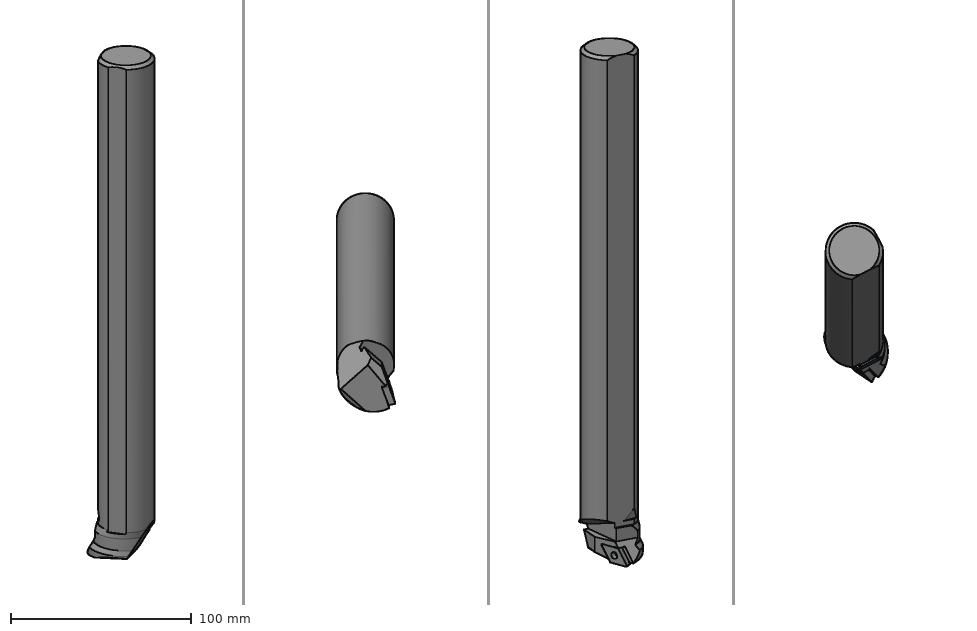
import cadquery as cq
import math

bar_length = 301.2
bar_radius = 16.0
end_chamfer_height = 1.8
end_chamfer_width = 2.0
side_flat_x = -13.5
front_flat_y = -15.0
front_flat_end_z = 20.0

collar_top_z = 21.0
neck_top_z = 17.2
neck_bottom_z = 10.0
foot_top_z = 7.0
neck_radius = 17.5
neck_x = -1.5
neck_y = 1.35
foot_radius = 19.5
foot_x = -2.7
foot_y = 2.5
neck_flat_x = -14.8

heel_run = 11.5
heel_top_z = 23.5
heel_bottom_z = 3.0
flank_top_z = 13.3
flank_bottom_x = -20.5
flank_bottom_z = 2.7
bottom_clearance = 0.5
bottom_slope_x = 0.09
bottom_slope_y = -0.11
toe_y = -12.0
toe_z = 1.0
toe_slope = 0.6
back_bevel_z = 4.2
back_bevel_slope = 0.5

rake_angle = 28.0
tip_x = -22.0
tip_y = 0.3
head_back_y = 10.5
shelf_z = 13.3
wall_angle = 10.0
wall_y = 3.5
roof_z = 23.8
roof_slope_x = -0.4
roof_slope_y = 0.43

notch_top_y = -7.5
notch_top_z = 29.8
notch_floor_z = 24.0
notch_slope = 0.18

insert_edge = 11.7
insert_thickness = 4.0
insert_angle = 55.0
insert_lead_angle = 2.0
insert_clearance_angle = 7.0
insert_nose_radius = 0.5
insert_hole_diameter = 4.0
seat_setback = 1.8

reach = 90.5


def half_space(point, outward):
    """Large block on the outward side of a plane."""
    plane = cq.Plane(origin=point, normal=outward)
    return cq.Workplane(plane).rect(2 * reach, 2 * reach).extrude(reach)


def frustum(bottom, top):
    """Skew cone between two circles, each given as (x, y, z, radius)."""
    wires = [
        cq.Wire.makeCircle(radius, cq.Vector(x, y, z), cq.Vector(0, 0, 1))
        for x, y, z, radius in (bottom, top)
    ]
    return cq.Workplane(cq.Solid.makeLoft(wires, True))


def make_shank():
    """Round bar with one side flat and a chamfered end."""
    blank = cq.Workplane().circle(bar_radius).extrude(bar_length)
    blank = blank.faces(">Z").edges().chamfer(end_chamfer_height, end_chamfer_width)
    envelope = cq.Workplane().box(2 * bar_radius, 3 * bar_radius, bar_length, centered=(False, True, False))
    envelope = envelope.translate((side_flat_x, 0, collar_top_z))
    return blank.intersect(envelope)


def make_head():
    """Stacked eccentric rounds: collar, neck, flare and foot."""
    neck_circle = (neck_x, neck_y)
    collar = frustum((*neck_circle, neck_top_z, neck_radius), (0, 0, collar_top_z, bar_radius))
    neck = cq.Workplane(origin=(*neck_circle, neck_bottom_z)).circle(neck_radius)
    neck = neck.extrude(neck_top_z - neck_bottom_z)
    flare = frustum((foot_x, foot_y, foot_top_z, foot_radius), (*neck_circle, neck_bottom_z, neck_radius))
    foot = cq.Workplane(origin=(foot_x, foot_y, 0)).circle(foot_radius).extrude(foot_top_z)
    above_flank = half_space((0, 0, flank_top_z), (0, 0, 1))
    neck_flat = half_space((neck_flat_x, 0, 0), (-1, 0, 0)).intersect(above_flank)
    return collar.union(neck).cut(neck_flat).union(flare).union(foot)


def cut_front_flat(body):
    """Flat on -Y that runs down into the collar."""
    flat = cq.Workplane(origin=(0, front_flat_y - reach / 2, front_flat_end_z))
    return body.cut(flat.rect(reach, reach).extrude(bar_length))


def cut_corner_notch(body):
    """Shallow facet across the edge of the side flat, deepest at its floor."""
    facet = half_space((side_flat_x, notch_top_y, notch_top_z), (-1, -notch_slope, -notch_slope))
    above_floor = half_space((0, 0, notch_floor_z), (0, 0, 1))
    below_top = half_space((0, 0, notch_top_z), (0, 0, -1))
    return body.cut(facet.intersect(above_floor).intersect(below_top))


def cut_reliefs(body):
    """Slope the heel, the flank under the insert edge and the underside."""
    heel_rise = heel_top_z - heel_bottom_z
    heel = half_space((bar_radius, 0, heel_top_z), (heel_rise, 0, -heel_run))
    flank_rise = flank_top_z - flank_bottom_z
    flank_run = neck_flat_x - flank_bottom_x
    flank = half_space((neck_flat_x, 0, flank_top_z), (-flank_rise, 0, flank_run))
    flank = flank.intersect(half_space((0, 0, flank_top_z), (0, 0, -1)))
    bottom = half_space((tip_x, tip_y, bottom_clearance), (bottom_slope_x, bottom_slope_y, -1))
    toe = half_space((tip_x, toe_y, toe_z), (bottom_slope_x, -toe_slope, -1))
    back_bevel = half_space((0, head_back_y, back_bevel_z), (0, back_bevel_slope, -1))
    return body.cut(heel).cut(flank).cut(bottom).cut(toe).cut(back_bevel)


def cut_chip_pocket(body):
    """Open the +Y side: a rake face low down and a shallower wall up to a sloping roof."""
    rake = math.radians(rake_angle)
    wall = math.radians(wall_angle)
    below_shelf = half_space((0, 0, shelf_z), (0, 0, -1))
    rake_cut = half_space((tip_x, tip_y, 0), (-math.sin(rake), math.cos(rake), 0)).intersect(below_shelf)
    back_cut = half_space((0, head_back_y, 0), (0, 1, 0)).intersect(below_shelf)
    wall_cut = half_space((side_flat_x, wall_y, 0), (-math.sin(wall), math.cos(wall), 0))
    under_roof = half_space((side_flat_x, wall_y, roof_z), (roof_slope_x, roof_slope_y, -1))
    above_shelf = half_space((0, 0, shelf_z), (0, 0, 1))
    wall_cut = wall_cut.intersect(under_roof).intersect(above_shelf)
    return body.cut(rake_cut).cut(back_cut).cut(wall_cut)


def make_insert_blank():
    """Insert that tapers into the head, without its hole, and the plug that cuts the hole."""
    rake = math.radians(rake_angle)
    lead = math.radians(insert_lead_angle)
    side = math.radians(insert_lead_angle + insert_angle)
    lead_end = (insert_edge * math.cos(lead), insert_edge * math.sin(lead))
    side_end = (insert_edge * math.cos(side), insert_edge * math.sin(side))
    far_corner = (lead_end[0] + side_end[0], lead_end[1] + side_end[1])
    outline = cq.Sketch().polygon([(0, 0), lead_end, far_corner, side_end, (0, 0)])
    outline = outline.vertices().fillet(insert_nose_radius)
    into_head = (math.sin(rake), -math.cos(rake), 0)
    along_face = (math.cos(rake), math.sin(rake), 0)
    face = cq.Workplane(cq.Plane((0, 0, 0), along_face, into_head))
    blank = face.placeSketch(outline).extrude(insert_thickness, taper=insert_clearance_angle)
    box = blank.val().BoundingBox()
    centre = cq.Vector(*along_face) * (far_corner[0] / 2)
    centre += cq.Vector(0, 0, far_corner[1] / 2)
    shift = cq.Vector(tip_x - box.xmin, tip_y, -box.zmin)
    hole = cq.Workplane(cq.Plane(centre + shift, along_face, into_head))
    hole = hole.circle(insert_hole_diameter / 2).extrude(insert_thickness)
    return blank.translate(shift), hole


def open_insert_seat(body):
    """Clear the head away in front of the side edge, through the insert thickness."""
    rake = math.radians(rake_angle)
    side = math.radians(insert_lead_angle + insert_angle)
    into_head = cq.Vector(math.sin(rake), -math.cos(rake), 0)
    along_face = cq.Vector(math.cos(rake), math.sin(rake), 0)
    outward = along_face * -math.sin(side) + cq.Vector(0, 0, math.cos(side))
    tip = cq.Vector(tip_x, tip_y, 0)
    outside_edge = half_space((tip - outward * seat_setback).toTuple(), outward.toTuple())
    above_floor = half_space((tip + into_head * insert_thickness).toTuple(), (-into_head).toTuple())
    below_top = half_space((0, 0, neck_bottom_z), (0, 0, -1))
    return body.cut(outside_edge.intersect(above_floor).intersect(below_top))


insert_blank, insert_hole = make_insert_blank()
insert = insert_blank.cut(insert_hole)

holder = make_shank().union(make_head())
holder = cut_corner_notch(cut_front_flat(holder))
holder = cut_chip_pocket(cut_reliefs(holder))
holder = open_insert_seat(holder).cut(insert_blank)

result = cq.Compound.makeCompound([*holder.vals(), insert.val()])